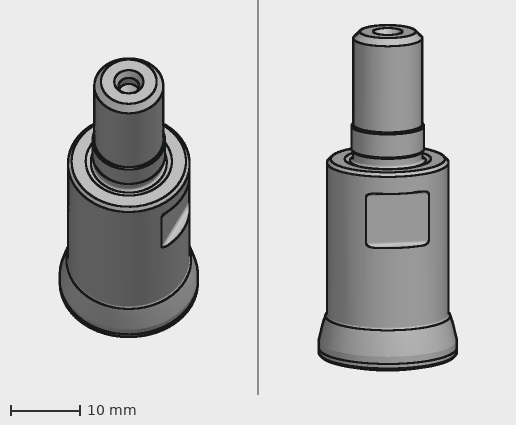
import cadquery as cq
import math

total_height = 49.0
cap_top = 2.05
flare_bottom = 3.1
flare_top = 6.8
shoulder_height = 30.1
neck_top = 31.3
collar_bottom = 31.55
collar_top = 35.0

shank_radius = 10.0 / 2
collar_radius = 10.5 / 2
neck_radius = 10.1 / 2
barrel_radius = 17.6 / 2
foot_radius = 20.0 / 2
flare_top_radius = 9.0
flare_arc_radius = 19.6
barrel_fillet = 0.4

shank_chamfer = 1.0
shoulder_chamfer = 0.55

relief_outer_radius = 6.2
relief_inner_radius = 5.5
relief_depth = 0.25

centre_hole_radius = 3.0 / 2
centre_mouth_radius = 2.1
centre_sink_angle = 60.0
centre_hole_depth = 2.45
drill_point_angle = 118.0

flat_bottom = 18.95
flat_top = 27.0
flat_distance = 7.5
flat_fillet = 0.6
flat_rotation = -8.0

cap_chamfer = 0.3
dome_radius = 31.85
dome_flat_radius = 5.15


def make_body_blank():
    """Revolve the barrel, flared foot and stepped shank about Z."""
    ledge_width = flare_top_radius - barrel_radius
    fillet_angle = math.acos(1 - ledge_width / barrel_fillet)
    fillet_end = flare_top + barrel_fillet * math.sin(fillet_angle)
    fillet_mid = (
        barrel_radius + barrel_fillet * (1 - math.cos(fillet_angle / 2)),
        fillet_end - barrel_fillet * math.sin(fillet_angle / 2),
    )
    flare_height = flare_top - flare_bottom
    flare_inset = foot_radius - flare_top_radius
    flare_chord = math.hypot(flare_height, flare_inset)
    flare_sagitta = flare_arc_radius - math.sqrt(flare_arc_radius**2 - flare_chord**2 / 4)
    flare_mid = (
        (foot_radius + flare_top_radius) / 2 + flare_sagitta * flare_height / flare_chord,
        (flare_bottom + flare_top) / 2 + flare_sagitta * flare_inset / flare_chord,
    )
    collar_step = collar_radius - shank_radius
    relief_floor = shoulder_height - relief_depth
    relief_fillet = relief_inner_radius - neck_radius
    relief_mid = relief_fillet * (1 - math.sqrt(0.5))
    profile = (
        cq.Workplane("XZ")
        .moveTo(0, cap_top)
        .lineTo(foot_radius, cap_top)
        .lineTo(foot_radius, flare_bottom)
        .threePointArc(flare_mid, (flare_top_radius, flare_top))
        .threePointArc(fillet_mid, (barrel_radius, fillet_end))
        .lineTo(barrel_radius, shoulder_height - shoulder_chamfer)
        .lineTo(barrel_radius - shoulder_chamfer, shoulder_height)
        .lineTo(relief_outer_radius, shoulder_height)
        .lineTo(relief_inner_radius, relief_floor)
        .threePointArc(
            (neck_radius + relief_mid, relief_floor + relief_mid),
            (neck_radius, relief_floor + relief_fillet),
        )
        .lineTo(neck_radius, neck_top)
        .lineTo(collar_radius, collar_bottom)
        .lineTo(collar_radius, collar_top)
        .lineTo(shank_radius, collar_top + collar_step)
        .lineTo(shank_radius, total_height - shank_chamfer)
        .lineTo(shank_radius - shank_chamfer, total_height)
        .lineTo(0, total_height)
        .close()
    )
    return profile.revolve(360, (0, 0, 0), (0, 1, 0))


def make_centre_hole():
    """Countersunk blind hole with a conical drill point."""
    sink_slope = math.tan(math.radians(centre_sink_angle / 2))
    sink_depth = (centre_mouth_radius - centre_hole_radius) / sink_slope
    point_depth = centre_hole_radius / math.tan(math.radians(drill_point_angle / 2))
    hole_floor = total_height - centre_hole_depth
    profile = (
        cq.Workplane("XZ")
        .moveTo(0, total_height)
        .lineTo(centre_mouth_radius, total_height)
        .lineTo(centre_hole_radius, total_height - sink_depth)
        .lineTo(centre_hole_radius, hole_floor)
        .lineTo(0, hole_floor - point_depth)
        .close()
    )
    return profile.revolve(360, (0, 0, 0), (0, 1, 0))


def make_flat_cutter(angle):
    """Block that cuts one wrench flat, rounded where the flat meets its end walls."""
    flat_height = flat_top - flat_bottom
    cutter = (
        cq.Workplane("XY")
        .box(barrel_radius, 2 * barrel_radius, flat_height, centered=(False, True, False))
        .edges("<X and |Y")
        .fillet(flat_fillet)
        .translate((flat_distance, 0, flat_bottom))
    )
    return cutter.rotate((0, 0, 0), (0, 0, 1), angle)


def make_body():
    body = make_body_blank().cut(make_centre_hole())
    for side_angle in (0, 180):
        body = body.cut(make_flat_cutter(flat_rotation + side_angle))
    return body


def make_cap():
    """Short disc with a chamfered rim and a shallow spherical underside, flat at its centre."""
    rim_radius = foot_radius - cap_chamfer
    centre_height = math.sqrt(dome_radius**2 - dome_flat_radius**2)
    dome_height = centre_height - math.sqrt(dome_radius**2 - rim_radius**2)
    mid_radius = (dome_flat_radius + rim_radius) / 2
    mid_height = centre_height - math.sqrt(dome_radius**2 - mid_radius**2)
    profile = (
        cq.Workplane("XZ")
        .moveTo(0, 0)
        .lineTo(dome_flat_radius, 0)
        .threePointArc((mid_radius, mid_height), (rim_radius, dome_height))
        .lineTo(foot_radius, dome_height + cap_chamfer)
        .lineTo(foot_radius, cap_top)
        .lineTo(0, cap_top)
        .close()
    )
    return profile.revolve(360, (0, 0, 0), (0, 1, 0))


body = make_body()
cap = make_cap()
result = cq.Compound.makeCompound([body.val(), cap.val()])